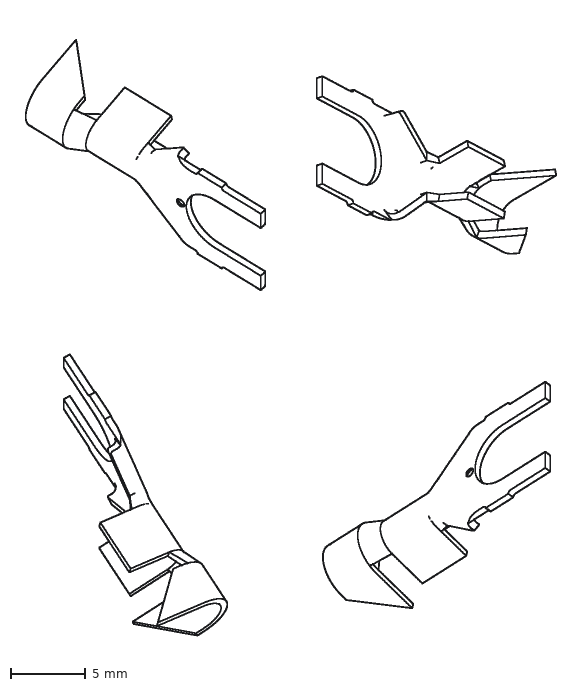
import cadquery as cq
import math

length = 19.84
thickness = 0.5
wing_angle = 12.0
lean = math.radians(wing_angle)
tangent_angle = 90.0 - wing_angle

grip_end = 3.2
wire_start = 4.75
wire_end = 8.75
fork_start = 9.58

grip_radius = 2.28
grip_drop = 0.58
grip_center = grip_radius - grip_drop
grip_wing = 3.71
grip_wing_short = 0.55

wire_radius = 1.57
wire_center = wire_radius
wire_wing = 3.02

grip_neck_angle = 62.0
wire_neck_angle = 75.0

full_width = 8.43
fork_half_width = 3.99
shoulder_angle = math.radians(40.0)
flat_half_width = 0.54
bend_radius = 1.0
inner_bend_radius = bend_radius - thickness
flange_height = 1.39
flange_corner_radius = 0.2
flange_end_slope = math.radians(28.0)
slot_radius = 2.48
slot_bottom = 13.41
tab_start = 14.15
tab_end = 16.69
tab_height = full_width / 2 - fork_half_width
dimple_x = 12.92
dimple_diameter = 0.65
dimple_depth = 0.15

throat_wall_height = 1.73
throat_floor_angle = 31.0


def section_plane(x):
    """Sketch plane across the part: local x is Y, local y is Z."""
    return cq.Workplane("YZ", origin=(x, 0, 0))


def arc_point(center, radius, degrees):
    """Point on a barrel arc, the angle being measured from the -Y direction toward +Z."""
    angle = math.radians(degrees)
    return (center - radius * math.cos(angle), radius * math.sin(angle))


def along_wing(point, distance):
    """Point moved outward along the leaning upper wing."""
    return (point[0] + distance * math.cos(lean), point[1] + distance * math.sin(lean))


def floor_band(plane, center, radius, half_angle):
    """Closed outline of a barrel floor of sheet thickness."""
    inner = radius - thickness
    return (
        plane.moveTo(*arc_point(center, radius, -half_angle))
        .threePointArc((center - radius, 0), arc_point(center, radius, half_angle))
        .lineTo(*arc_point(center, inner, half_angle))
        .threePointArc((center - inner, 0), arc_point(center, inner, -half_angle))
        .close()
    )


def upper_wing(center, radius, root_x, end_x, length_at_root, length_at_end):
    """Upper wing: a flat plate tangent to the barrel floor, trimmed square to its faces."""
    root = arc_point(center, radius, tangent_angle)
    wing_plane = cq.Plane(
        origin=(0, root[0], root[1]),
        xDir=(1, 0, 0),
        normal=(0, math.sin(lean), -math.cos(lean)),
    )
    outline = [(root_x, 0), (end_x, 0), (end_x, -length_at_end), (root_x, -length_at_root)]
    wing = cq.Workplane(wing_plane).polyline(outline).close()
    return wing.extrude(thickness)


def insulation_grip():
    floor = floor_band(section_plane(0), grip_center, grip_radius, tangent_angle).extrude(grip_end)
    upper = upper_wing(grip_center, grip_radius, 0, grip_end, grip_wing, grip_wing_short)
    lower = upper_wing(grip_center, grip_radius, 0, grip_end, grip_wing_short, grip_wing).mirror("XY")
    return floor.union(upper).union(lower)


def ruled_body(start, end):
    """Solid with straight generators between two outlines of matching edges."""
    return cq.Workplane(cq.Solid.makeLoft([start.val(), end.val()], True))


def neck():
    start = floor_band(section_plane(grip_end), grip_center, grip_radius, grip_neck_angle)
    end = floor_band(section_plane(wire_start), wire_center, wire_radius, wire_neck_angle)
    return ruled_body(start, end)


def wire_barrel():
    barrel_length = wire_end - wire_start
    floor = floor_band(section_plane(wire_start), wire_center, wire_radius, tangent_angle)
    wing = upper_wing(wire_center, wire_radius, wire_start, wire_end, wire_wing, wire_wing)
    return floor.extrude(barrel_length).union(wing).union(wing.mirror("XY"))


def throat_start():
    """Upper part of the barrel section, beyond the arc that flattens into the fork floor."""
    inner_radius = wire_radius - thickness
    middle = (throat_floor_angle + tangent_angle) / 2
    root = arc_point(wire_center, wire_radius, tangent_angle)
    inner_root = arc_point(wire_center, inner_radius, tangent_angle)
    wall = (throat_wall_height - root[0]) / math.cos(lean)
    return (
        section_plane(wire_end)
        .moveTo(*arc_point(wire_center, wire_radius, throat_floor_angle))
        .threePointArc(arc_point(wire_center, wire_radius, middle), root)
        .lineTo(*along_wing(root, wall))
        .lineTo(*along_wing(inner_root, wall))
        .lineTo(*inner_root)
        .threePointArc(
            arc_point(wire_center, inner_radius, middle),
            arc_point(wire_center, inner_radius, throat_floor_angle),
        )
        .close()
    )


stretch = 1 / math.cos(shoulder_angle)
fork_start_half_width = flat_half_width + bend_radius * stretch


def shoulder_section():
    """Upper bend and flange where the fork starts, from the outside around to the inside."""
    inner_bend_z = inner_bend_radius * stretch
    inner_face_z = flat_half_width + inner_bend_z
    return (
        section_plane(fork_start)
        .moveTo(0, flat_half_width)
        .ellipseArc(bend_radius, bend_radius * stretch, 90, 180, sense=-1)
        .lineTo(flange_height, fork_start_half_width)
        .lineTo(flange_height, inner_face_z)
        .lineTo(bend_radius, inner_face_z)
        .ellipseArc(inner_bend_radius, inner_bend_z, 90, 180, sense=1)
        .close()
    )


def throat():
    wall = ruled_body(throat_start(), shoulder_section())

    floor_start = floor_band(section_plane(wire_end), wire_center, wire_radius, throat_floor_angle)
    floor_end = (
        section_plane(fork_start)
        .moveTo(0, -flat_half_width)
        .lineTo(0, flat_half_width)
        .lineTo(thickness, flat_half_width)
        .lineTo(thickness, -flat_half_width)
        .close()
    )
    floor = ruled_body(floor_start, floor_end)
    return floor.union(wall).union(wall.mirror("XY"))


shoulder_end = fork_start + (fork_half_width - flat_half_width) / math.tan(shoulder_angle)


def fork_plane(y=0):
    """Sketch plane parallel to the plate: local x is X, local y is Z, negative depth goes to +Y."""
    return cq.Workplane("XZ", origin=(0, y, 0))


def shoulder():
    """Upper bent-up shoulder, running obliquely and trimmed at the fork edge."""
    run = cq.Vector(shoulder_end - fork_start, 0, fork_half_width - flat_half_width)
    bar = cq.Workplane(cq.Solid.extrudeLinear(shoulder_section().val(), [], run))
    edge_trim = cq.Workplane().box(length, length, 2 * fork_half_width).translate((length / 2, 0, 0))

    corner_x = fork_start + (fork_half_width - fork_start_half_width) / math.tan(shoulder_angle)
    end_reach = shoulder_end - corner_x
    end_fall = end_reach * math.tan(flange_end_slope)
    end_trim = (
        fork_plane(thickness)
        .moveTo(corner_x, fork_half_width)
        .lineTo(shoulder_end, fork_half_width)
        .lineTo(shoulder_end, fork_half_width - end_fall)
        .close()
        .extrude(-flange_height)
    )
    bar = bar.intersect(edge_trim).cut(end_trim)
    return bar.faces(">Y").edges(">X").fillet(flange_corner_radius)


def tab():
    """Low step on the fork edge, ending in a hollow quarter round on each side."""
    top = fork_half_width + tab_height
    bow = tab_height * math.sqrt(0.5)
    return (
        fork_plane()
        .moveTo(tab_start, fork_half_width)
        .threePointArc((tab_start + bow, top - bow), (tab_start + tab_height, top))
        .lineTo(tab_end - tab_height, top)
        .threePointArc((tab_end - bow, top - bow), (tab_end, fork_half_width))
        .close()
        .extrude(-thickness)
    )


def fork():
    upper_edge = [
        (fork_start, flat_half_width),
        (shoulder_end, fork_half_width),
        (length, fork_half_width),
    ]
    lower_edge = [(x, -z) for x, z in reversed(upper_edge)]
    plate = fork_plane().polyline(upper_edge + lower_edge).close().extrude(-thickness)

    slot_center = slot_bottom + slot_radius
    slot = (
        fork_plane()
        .moveTo(length, slot_radius)
        .lineTo(slot_center, slot_radius)
        .threePointArc((slot_bottom, 0), (slot_center, -slot_radius))
        .lineTo(length, -slot_radius)
        .close()
        .extrude(-thickness)
    )
    dimple = fork_plane().center(dimple_x, 0).circle(dimple_diameter / 2).extrude(-dimple_depth)
    plate = plate.cut(slot).cut(dimple)

    for side in (shoulder(), tab()):
        plate = plate.union(side).union(side.mirror("XY"))
    return plate


result = insulation_grip().union(neck()).union(wire_barrel()).union(throat()).union(fork())